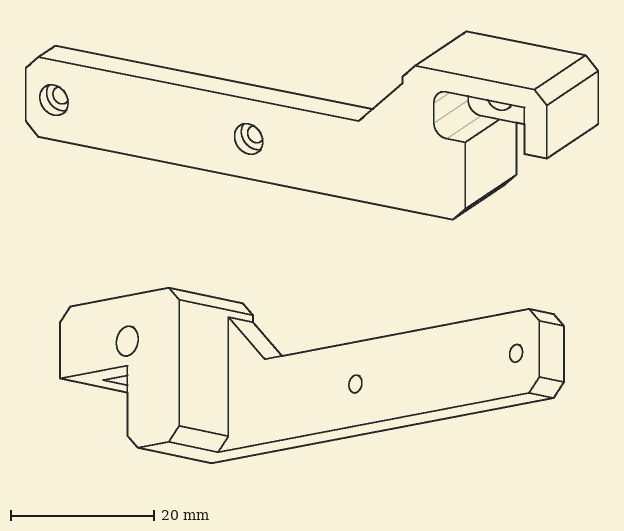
import cadquery as cq

bar_length = 70.0
bar_height = 12.0
bar_thickness = 5.0
corner_chamfer = 2.0

block_left = 60.0
block_right = 83.0
block_top = 22.0
block_depth = 15.0

pocket_left = 65.0
hook_tip_thickness = 3.6
hook_roof_thickness = 3.0
back_wall_thickness = 5.0
pocket_radius = 2.0
pocket_right = block_right - hook_tip_thickness
pocket_top = block_top - hook_roof_thickness
pocket_depth = block_depth - back_wall_thickness

web_top = pocket_top
web_run = web_top - bar_height

screw_hole_diameter = 2.5
counterbore_diameter = 4.5
counterbore_depth = 2.0
screw_hole_xs = (4.5, 35.5)
screw_hole_z = bar_height / 2
wall_hole_diameter = 4.2
wall_hole_x = bar_length
wall_hole_z = (bar_height + pocket_top) / 2


def extrude_outline(points, depth):
    """Extrude an (X, Z) outline from the front face back along +Y."""
    return cq.Workplane("XZ").polyline(points).close().extrude(-depth)


def cylinder_along_y(x, z, diameter, depth):
    """Cylinder starting at the front face and running back along +Y."""
    return cq.Workplane("XZ").center(x, z).circle(diameter / 2).extrude(-depth)


def make_bar():
    c = corner_chamfer
    outline = [
        (c, 0),
        (bar_length - c, 0),
        (bar_length, c),
        (bar_length, bar_height),
        (block_left, web_top),
        (block_left - web_run, bar_height),
        (c, bar_height),
        (0, bar_height - c),
        (0, c),
    ]
    return extrude_outline(outline, bar_thickness)


def make_block():
    c = corner_chamfer
    outline = [
        (block_left + c, 0),
        (bar_length - c, 0),
        (bar_length, c),
        (bar_length, bar_height),
        (block_right, bar_height),
        (block_right, block_top - c),
        (block_right - c, block_top),
        (block_left + c, block_top),
        (block_left, block_top - c),
        (block_left, c),
    ]
    return extrude_outline(outline, block_depth)


def make_pocket():
    width = pocket_right - pocket_left
    height = pocket_top - bar_height
    pocket = (
        cq.Workplane("XY")
        .box(width, pocket_depth, height, centered=False)
        .translate((pocket_left, 0, bar_height))
    )
    return pocket.edges("|Y and <X").fillet(pocket_radius)


def make_screw_hole(x):
    hole = cylinder_along_y(x, screw_hole_z, screw_hole_diameter, bar_thickness)
    counterbore = cylinder_along_y(x, screw_hole_z, counterbore_diameter, counterbore_depth)
    return hole.union(counterbore)


result = make_bar().union(make_block()).cut(make_pocket())
result = result.cut(cylinder_along_y(wall_hole_x, wall_hole_z, wall_hole_diameter, block_depth))
for hole_x in screw_hole_xs:
    result = result.cut(make_screw_hole(hole_x))